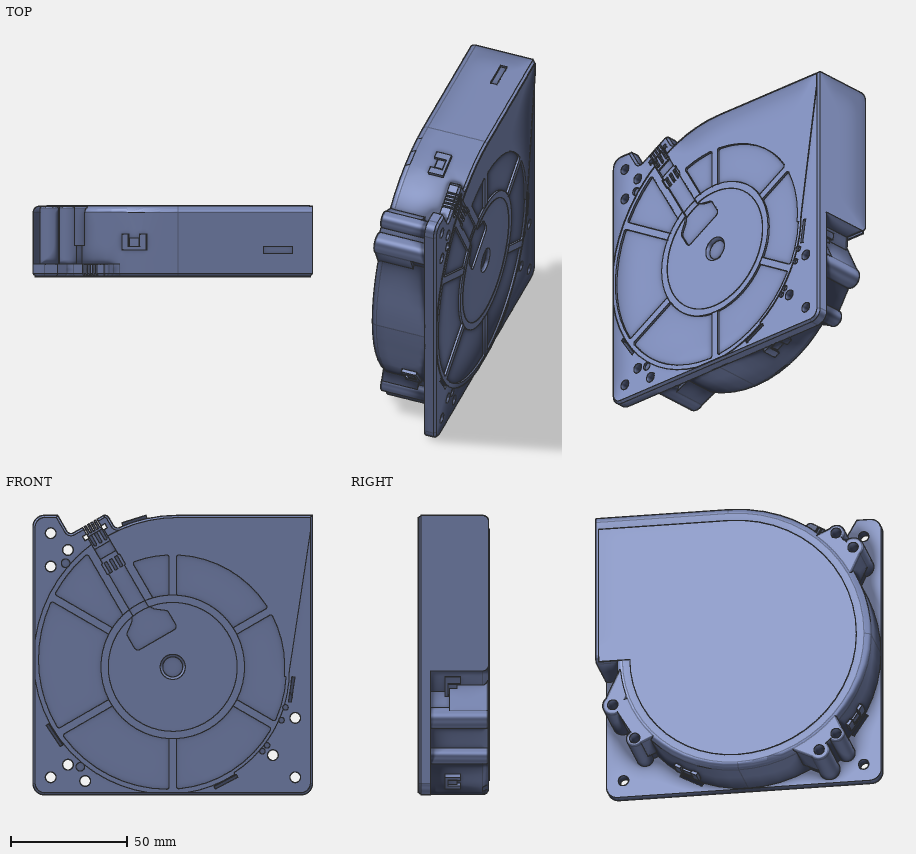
import cadquery as cq
import math


half_width = 60.065
plate_bottom = -55.0
plate_top = 65.14
body_depth = 30.0
pad_height = 0.335
far = 200.0

plate_thickness = 5.1
plate_corner_radius = 5.0
front_chamfer = 1.0
back_fillet = 2.7
notch_angle = 120
tongue_end = 71.2
tongue_left = -10.2
tongue_right = 8.3
tongue_fillet = 2.0
notch_root = 48.0

scroll_x, scroll_z = 2.15, 3.04
upper_radius = plate_top - scroll_z
scroll_bottom_gap = 0.15
scroll_bottom = plate_bottom + scroll_bottom_gap
lower_radius = scroll_z - scroll_bottom
lower_x = scroll_x - (upper_radius - lower_radius)
outlet_radius = 53.1
outlet_z = scroll_bottom + outlet_radius
upper_arc = (scroll_x, scroll_z, upper_radius)
lower_arc = (lower_x, scroll_z, lower_radius)
outlet_arc = (lower_x, outlet_z, outlet_radius)

pad_inset = 0.25
pad_corner_z = 57.8
ring_radius = 30.85
hub_disc_radius = 27.7
hub_disc_depth = 0.3
ring_depth = 0.1
back_pad_inset = 6.0
back_pad_end_gap = 1.4
recess_inset = 2.3
recess_depth = 1.0
outlet_recess_radius = 48.1
outlet_recess_start = -5
rib_width = 3.2
rib_angles = range(-30, 300, 60)
cable_rib_width = 14.8
recess_corner_radius = 1.0
hub_hole_radius = 5.4
hub_hole_floor_radius = 4.3
hub_hole_depth = 1.5

channel_width = 7.8
channel_depth = 0.6
pocket_start, pocket_end = 13.5, 22.0
pocket_width = 20.4
pocket_corner_radius = 1.8
flare_middle, flare_middle_offset = 25.5, 5.6
flare_end = 28.0
wire_pitch = 2.6
wire_width = 1.3
comb_start, comb_end = 48.3, 53.4
comb_rim_width = 9.0
comb_depth = 2.0
step_start, step_end = 55.5, 60.4
step_depth = 1.2
clamp_end = 66.5
clamp_slot_start = 62.2
clamp_depth = 2.0
tooth_start = 67.5
tooth_width = 0.7
tooth_count = 5
tooth_pitch = 1.6
latch_hole_position = 66.8
latch_hole_offset = 4.5
latch_hole_size = 2.0

screw_hole_diameter = 4.5
outer_post_radius = 4.5
inner_post_radius = 3.7
post_end = 29.8
post_fillet = 0.6
web_slope = 65
corner_holes = [(-52.4, 57.4), (-52.4, -47.4), (52.6, -47.4)]
post_pairs = [
    [
        (-52.4, 43.1, outer_post_radius, -web_slope),
        (-45.0, 50.2, inner_post_radius, web_slope - 90),
    ],
    [
        (-45.0, -42.0, inner_post_radius, web_slope),
        (-37.6, -49.0, outer_post_radius, 90 - web_slope),
    ],
    [
        (43.0, -37.9, inner_post_radius, 90 + web_slope),
        (52.6, -21.9, outer_post_radius, 180 - web_slope),
    ],
]
posts = [post for pair in post_pairs for post in pair]
post_start = plate_thickness / 2
bridge_reach = 0.8
web_length = 16.0
web_step = 13.2
web_step_in = 1.8
web_side_in = 0.3
pin_depth = 1.0
large_pin_radius, large_pins = 1.85, [(-46.0, 44.5), (-39.7, -42.9)]
small_pin_radius = 1.2
small_pins = [(48.4, -17.4), (46.7, -22.9), (40.5, -33.7), (38.5, -36.2)]

clip_length = 10.9
clip_height = 1.25
clip_front, clip_back = 11.2, 18.0
clip_gap_length = 5.1
clip_bar = 1.4
catch_length = 4.2
catch_height = 0.9
catch_end = 16.4
clip_root = 1.5
hidden_clips = [(lower_arc, 213.6), (outlet_arc, -62.4), (outlet_arc, -8.5)]
top_clip = (upper_arc, 107.3)

window_x0, window_x1 = 39.0, 51.5
window_y0, window_y1 = 9.7, 12.7
window_depth = 1.0


def sketch(y):
    """Drawing plane at depth y: local x = X, local y = Z."""
    return cq.Workplane("XZ", origin=(0, y, 0))


def slab(outline, y0, y1):
    """Extrude a closed outline, drawn on sketch(y0), back to depth y1."""
    return outline.extrude(y0 - y1)


def box(x0, x1, y0, y1, z0, z1):
    return cq.Workplane("XY").box(x1 - x0, y1 - y0, z1 - z0, centered=False).translate((x0, y0, z0))


def turn(shape, angle):
    """Turn a shape about the fan axis, counter-clockwise seen from the front."""
    return shape.rotate((0, 0, 0), (0, 1, 0), -angle)


def cable_box(u0, u1, v0, v1, y0, y1):
    """Block between u0 and u1 along the cable line, v0 and v1 across it (v to the right)."""
    return turn(box(u0, u1, y0, y1, -v1, -v0), notch_angle)


def cylinder(x, z, radius, y0, y1):
    return slab(sketch(y0).center(x, z).circle(radius), y0, y1)


def on_arc(arc, angle, inset):
    x, z, radius = arc
    a = math.radians(angle)
    return (x + (radius - inset) * math.cos(a), z + (radius - inset) * math.sin(a))


def scroll_outline(y, inset, outlet_lip):
    """Scroll inset from the wall; outlet_lip lists the corners from the last arc to the top right one."""
    outline = sketch(y).moveTo(*on_arc(upper_arc, 90, inset))
    for arc, start in ((upper_arc, 90), (lower_arc, 180), (outlet_arc, 270)):
        outline = outline.threePointArc(on_arc(arc, start + 45, inset), on_arc(arc, start + 90, inset))
    for point in outlet_lip:
        outline = outline.lineTo(*point)
    return outline.close()


def full_outlet_lip(inset, end_gap):
    """Outlet corners of an inset casing outline that stops end_gap short of the outlet end."""
    end_x = half_width - end_gap
    return [(end_x, outlet_z), (end_x, plate_top - inset)]


def make_scroll():
    scroll = slab(scroll_outline(0, 0, full_outlet_lip(0, 0)), 0, body_depth)
    scroll = scroll.faces("<Y").edges().chamfer(front_chamfer)
    return scroll.faces(">Y").edges("not >X").fillet(back_fillet)


def cable_point(u, v):
    """(x, z) of the point u along the cable line and v to the right of it."""
    a = math.radians(notch_angle)
    return (u * math.cos(a) + v * math.sin(a), u * math.sin(a) - v * math.cos(a))


def valley_position():
    """Distance along the cable line where the tongue's right side meets the upper scroll arc."""
    a = math.radians(notch_angle)
    centre_along = scroll_x * math.cos(a) + scroll_z * math.sin(a)
    centre_across = scroll_x * math.sin(a) - scroll_z * math.cos(a)
    return centre_along + math.sqrt(upper_radius**2 - (tongue_right - centre_across)**2)


def make_plate():
    """Square plate whose top left edge follows the cable tongue and then the scroll."""
    y0, y1 = 0, plate_thickness
    plate = box(-half_width, half_width, y0, y1, plate_bottom, plate_top)
    plate = plate.edges("|Y").edges("<X or <Z").fillet(plate_corner_radius)
    plate = plate.cut(cable_box(tongue_end, far, tongue_left, far, y0, y1))
    plate = plate.cut(cable_box(notch_root, far, tongue_right, far, y0, y1))
    scroll_rim = slab(scroll_outline(y0, 0, full_outlet_lip(0, 0)), y0, y1)
    top_part = cable_box(0, far, 0, far, y0, y1)
    plate = plate.union(scroll_rim.intersect(top_part))
    tongue_corners = [
        (tongue_end, tongue_left),
        (tongue_end, tongue_right),
        (valley_position(), tongue_right),
    ]
    for u, v in tongue_corners:
        x, z = cable_point(u, v)
        corner = cq.selectors.NearestToPointSelector((x, plate_thickness / 2, z))
        plate = plate.edges("|Y").edges(corner).fillet(tongue_fillet)
    return plate.faces("<Y").edges().chamfer(front_chamfer)


def make_post(x, z, radius, direction):
    """Round screw post with a web running to the scroll wall."""
    half_web = radius - web_side_in
    half_front_web = radius - web_step_in
    post = cylinder(x, z, radius, post_start, post_end)
    web = box(0, web_length, web_step, post_end, -half_web, half_web)
    web = web.union(box(0, web_length, post_start, web_step, -half_front_web, half_front_web))
    post = post.union(turn(web, direction).translate((x, 0, z)))
    return post.faces(">Y").edges().fillet(post_fillet)


def make_bridge(pair):
    """Fill the space between two paired posts and the scroll wall."""
    (x0, z0), (x1, z1) = [post[:2] for post in pair]
    inner = [(bridge_reach * x1, bridge_reach * z1), (bridge_reach * x0, bridge_reach * z0)]
    outline = sketch(post_start).polyline([(x0, z0), (x1, z1)] + inner).close()
    return slab(outline, post_start, post_end)


def make_pad():
    """Front panel: clear of the chamfered rim, and a little wider where it lies on the plate."""
    y0, y1 = -pad_height, front_chamfer
    end_x = half_width - front_chamfer
    top_z = plate_top - front_chamfer
    lip = [(end_x, pad_corner_z), (end_x, top_z)]
    narrow = slab(scroll_outline(y0, front_chamfer, lip), y0, y1)
    wide = slab(scroll_outline(y0, pad_inset, lip), y0, y1)
    wide = wide.intersect(cable_box(-far, far, -far, 0, y0, y1))
    plate_face = box(-end_x, end_x, y0, y1, plate_bottom + front_chamfer, top_z)
    return narrow.union(wide).intersect(plate_face)


def make_back_pad():
    y0, y1 = body_depth - pad_height, body_depth + pad_height
    lip = full_outlet_lip(back_pad_inset, back_pad_end_gap)
    return slab(scroll_outline(y0, back_pad_inset, lip), y0, y1)


def recess_area(y0, y1):
    """Area of the sunk panels: scroll shaped, but circular beside the outlet."""
    inner = slab(scroll_outline(y0, recess_inset, full_outlet_lip(recess_inset, recess_inset)), y0, y1)
    sector = sketch(y0).moveTo(0, 0)
    for angle in (outlet_recess_start, (outlet_recess_start + notch_angle) / 2, notch_angle):
        a = math.radians(angle)
        sector = sector.lineTo(far * math.cos(a), far * math.sin(a))
    sector = slab(sector.close(), y0, y1)
    disc = cylinder(0, 0, outlet_recess_radius, y0, y1)
    return inner.cut(sector).union(disc.intersect(sector))


def is_outer_rib_corner(point):
    """True for the panel corners where a rib side meets the outer boundary."""
    if math.hypot(point.x, point.z) < outlet_recess_radius - recess_corner_radius:
        return False
    sides = [(angle, rib_width / 2) for angle in rib_angles] + [(notch_angle, cable_rib_width / 2)]
    for angle, half in sides:
        a = math.radians(angle)
        along = point.x * math.cos(a) + point.z * math.sin(a)
        across = point.z * math.cos(a) - point.x * math.sin(a)
        if along > 0 and math.isclose(abs(across), half, abs_tol=0.01):
            return True
    return False


def make_recesses():
    """Sunk panels between the ribs of the front panel."""
    y0, y1 = -pad_height, recess_depth - pad_height
    panels = recess_area(y0, y1).cut(cylinder(0, 0, ring_radius, y0, y1))
    for angle in rib_angles:
        panels = panels.cut(turn(box(0, far, y0, y1, -rib_width / 2, rib_width / 2), angle))
    panels = panels.cut(cable_box(0, far, -cable_rib_width / 2, cable_rib_width / 2, y0, y1))
    rounded = [edge for edge in panels.edges("|Y").vals() if is_outer_rib_corner(edge.Center())]
    return panels.newObject(rounded).fillet(recess_corner_radius)


def make_hub_cuts():
    """Stepped ring and disc around the axis, with a shallow tapered hole in the middle."""
    disc = cylinder(0, 0, hub_disc_radius, -pad_height, hub_disc_depth - pad_height)
    disc = disc.union(cylinder(0, 0, ring_radius, -pad_height, ring_depth - pad_height))
    start = hub_disc_depth - pad_height
    hole = sketch(start).circle(hub_hole_radius).workplane(offset=-hub_hole_depth)
    return disc.union(hole.circle(hub_hole_floor_radius).loft())


def make_cable_channel():
    """Everything sunk along the cable line, from the pocket on the hub to the tongue's teeth."""
    half = channel_width / 2
    half_pocket = pocket_width / 2
    y0, y1 = -pad_height, channel_depth
    cut = cable_box(pocket_start, pocket_end, -half_pocket, half_pocket, y0, y1)
    side = [(pocket_end, half_pocket), (flare_middle, flare_middle_offset), (flare_end, half)]
    flare = side + [(u, -v) for u, v in reversed(side)]
    cut = cut.union(slab(sketch(y0).polyline([cable_point(*p) for p in flare]).close(), y0, y1))
    cut = cut.edges("|Y").fillet(pocket_corner_radius)
    cut = cut.union(cable_box(pocket_end, clamp_end, -half, half, y0, y1))
    for radius, depth in ((ring_radius, ring_depth), (hub_disc_radius, hub_disc_depth)):
        deeper = cut.intersect(cylinder(0, 0, radius, y0, y1)).translate((0, depth, 0))
        cut = cut.union(deeper)
    cut = cut.union(cable_box(step_start, step_end, -half, half, y0, step_depth))
    cut = cut.union(cable_box(comb_start, comb_end, -comb_rim_width / 2, comb_rim_width / 2, y0, y1))
    for i in (-1, 0, 1):
        v0 = i * wire_pitch - wire_width / 2
        cut = cut.union(cable_box(comb_start, comb_end, v0, v0 + wire_width, y0, comb_depth))
        groove = cable_box(clamp_slot_start, clamp_end, v0, v0 + wire_width, y0, clamp_depth)
        x, z = cable_point(clamp_slot_start, i * wire_pitch)
        cut = cut.union(groove).union(cylinder(x, z, wire_width / 2, y0, clamp_depth))
    for i in range(tooth_count):
        v0 = (i - (tooth_count - 1) / 2) * tooth_pitch - tooth_width / 2
        cut = cut.union(cable_box(tooth_start, far, v0, v0 + tooth_width, y0, plate_thickness))
    half_hole = latch_hole_size / 2
    for v in (-latch_hole_offset, latch_hole_offset):
        cut = cut.union(cable_box(latch_hole_position - half_hole, latch_hole_position + half_hole,
                                  v - half_hole, v + half_hole, y0, plate_thickness))
    return cut


def place_on_arc(shape, arc, angle):
    """Move a shape modelled on the +X side of the origin to the rim of a scroll arc."""
    return turn(shape.translate((arc[2], 0, 0)), angle).translate((arc[0], 0, arc[1]))


def make_clip(arc, angle):
    """U-shaped clip, open to the back, with a lower catch between its arms."""
    half = clip_length / 2
    half_gap = clip_gap_length / 2
    half_catch = catch_length / 2
    clip = box(-clip_root, clip_height, clip_front, clip_back, -half, half)
    clip = clip.cut(box(-clip_root, clip_height, clip_front + clip_bar, clip_back, -half_gap, half_gap))
    clip = clip.union(box(-clip_root, catch_height, clip_front + clip_bar, catch_end, -half_catch, half_catch))
    return place_on_arc(clip, arc, angle)


def make_clip_slot(arc, angle):
    slot = box(0, clip_height, -pad_height, plate_thickness, -clip_length / 2, clip_length / 2)
    return place_on_arc(slot, arc, angle)


body = make_plate().union(make_scroll())
for post in posts:
    body = body.union(make_post(*post))
for pair in post_pairs:
    body = body.union(make_bridge(pair))
body = body.union(make_pad()).union(make_back_pad())
body = body.cut(make_recesses()).cut(make_hub_cuts()).cut(make_cable_channel())
for x, z in corner_holes + [(p[0], p[1]) for p in posts]:
    body = body.cut(cylinder(x, z, screw_hole_diameter / 2, -pad_height, body_depth + pad_height))
for radius, pins in ((large_pin_radius, large_pins), (small_pin_radius, small_pins)):
    for x, z in pins:
        body = body.cut(cylinder(x, z, radius, -pad_height, pin_depth))
for arc, angle in hidden_clips:
    body = body.cut(make_clip_slot(arc, angle))
for arc, angle in hidden_clips + [top_clip]:
    body = body.union(make_clip(arc, angle))
body = body.cut(box(window_x0, window_x1, window_y0, window_y1, plate_top - window_depth, plate_top))

result = body